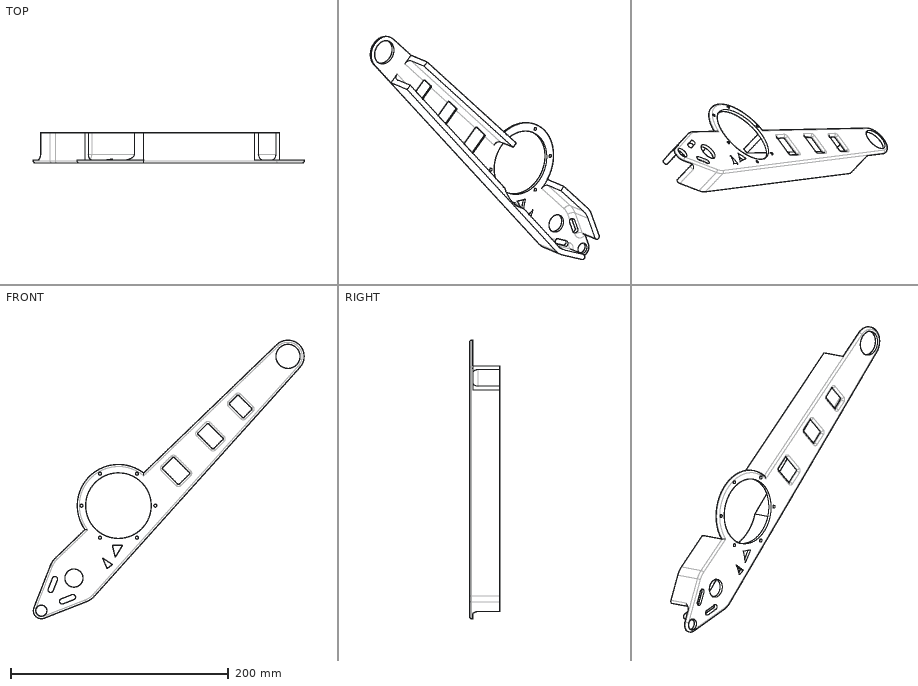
import cadquery as cq
import math


OVERALL_X = 249.51
OVERALL_Z = 256.6
DEPTH = 28.0
PLATE = 3.0
WALL = 5.0
FLOOR_FILLET = 5.0
EDGE_ROUND = 2.0
EPS = 1.0
CUT_DEPTH = PLATE + FLOOR_FILLET

RING_CENTER = (0.0, 0.0)
RING_RADIUS = 38.0
RING_BORE_RADIUS = 30.1
BOLT_CIRCLE_RADIUS = 34.0
BOLT_HOLE_RADIUS = 1.3
BOLT_COUNT = 6

TAIL = (-70.95, -96.7)
TAIL_RADIUS = 7.5
TAIL_BORE_RADIUS = 5.0
TIP_RADIUS = 15.0
TIP_BORE_RADIUS = 11.0
TIP = (
    TAIL[0] - TAIL_RADIUS + OVERALL_X - TIP_RADIUS,
    TAIL[1] - TAIL_RADIUS + OVERALL_Z - TIP_RADIUS,
)
MIDDLE_STEP = 30.0
MIDDLE = (TAIL[0] + MIDDLE_STEP, TAIL[1] + MIDDLE_STEP)
MIDDLE_BORE_RADIUS = 8.25
ARM_HALF_WIDTH = 25.2
TAIL_HALF_WIDTH = 24.5
OUTER_CORNER_RADIUS = 20.0
INNER_CORNER_RADIUS = 22.5

TIP_WALL_SETBACK = 27.5
TAIL_WALL_SETBACK = 15.0
WALL_END_RADIUS = WALL / 2
CLEARANCE = 12.0

WINDOW_ANGLE = 45.0
WINDOW_CORNER_RADIUS = 1.0
WINDOWS = [
    ((53.0, 32.0), 15.0, 21.5),
    ((84.7, 63.9), 13.6, 20.4),
    ((112.5, 91.3), 11.9, 18.5),
]

SLOT_ALONG = 24.5
SLOT_ACROSS = 9.6
SLOT_LENGTH = 15.4
SLOT_WIDTH = 4.7

TRIANGLES = [
    [(-5.5, -36.5), (3.7, -36.5), (-2.9, -47.4)],
    [(-14.4, -48.4), (-5.7, -54.3), (-10.4, -57.8)],
]

LEFT = 1
RIGHT = -1
QUARTER_TURN = math.pi / 2
HALF_TURN = math.pi


def heading(start, end):
    """Direction from one point to another."""
    return math.atan2(end[1] - start[1], end[0] - start[0])


def shift(point, angle, distance):
    """Point at a distance from another, in a given direction."""
    return (point[0] + distance * math.cos(angle), point[1] + distance * math.sin(angle))


ARM_ANGLE = heading(MIDDLE, TIP)
TAIL_ANGLE = heading(TAIL, MIDDLE)
ARM_TAPER = math.asin((ARM_HALF_WIDTH - TIP_RADIUS) / math.dist(MIDDLE, TIP))
TAIL_TAPER = math.asin((TAIL_HALF_WIDTH - TAIL_RADIUS) / math.dist(MIDDLE, TAIL))


def arm_normal(side):
    """Outward direction of a long arm edge."""
    return ARM_ANGLE + side * (QUARTER_TURN - ARM_TAPER)


def tail_normal(side):
    """Outward direction of a tail edge."""
    return TAIL_ANGLE + side * (QUARTER_TURN + TAIL_TAPER)


def corner_points(side, inset, radius):
    """Start, middle and end of the rounded corner, from the arm edge to the tail edge."""
    arm_dir = arm_normal(side)
    tail_dir = tail_normal(side)
    arm_offset = ARM_HALF_WIDTH - inset - radius
    tail_offset = TAIL_HALF_WIDTH - inset - radius
    turn = tail_dir - arm_dir
    slide = (tail_offset - arm_offset * math.cos(turn)) / math.sin(turn)
    center = shift(shift(MIDDLE, arm_dir, arm_offset), arm_dir + QUARTER_TURN, slide)
    return [shift(center, angle, radius) for angle in (arm_dir, (arm_dir + tail_dir) / 2, tail_dir)]


def tail_edge_start(side):
    """Point where the round of the tail meets a tail edge."""
    return shift(TAIL, tail_normal(side), TAIL_RADIUS)


def sketch():
    return cq.Workplane("XZ")


def raise_profile(profile, start, end):
    """Extrude a closed XZ profile from Y = start to Y = end."""
    return profile.extrude(start - end).translate((0, start, 0))


def disc(center, radius, start, end):
    return raise_profile(sketch().center(*center).circle(radius), start, end)


def turned_box(center, length, depth, height, angle, start):
    """Box of the given length along a direction in degrees, its front face at Y = start."""
    box = cq.Workplane("XY").box(length, depth, height)
    box = box.rotate((0, 0, 0), (0, 1, 0), -angle)
    return box.translate((center[0], start + depth / 2, center[1]))


def arm_profile():
    left = corner_points(LEFT, 0, OUTER_CORNER_RADIUS)
    right = corner_points(RIGHT, 0, OUTER_CORNER_RADIUS)
    tip_left = shift(TIP, arm_normal(LEFT), TIP_RADIUS)
    tip_right = shift(TIP, arm_normal(RIGHT), TIP_RADIUS)
    return (
        sketch()
        .moveTo(*tip_left)
        .lineTo(*left[0])
        .threePointArc(left[1], left[2])
        .lineTo(*tail_edge_start(LEFT))
        .threePointArc(shift(TAIL, TAIL_ANGLE + HALF_TURN, TAIL_RADIUS), tail_edge_start(RIGHT))
        .lineTo(*right[2])
        .threePointArc(right[1], right[0])
        .lineTo(*tip_right)
        .threePointArc(shift(TIP, ARM_ANGLE, TIP_RADIUS), tip_left)
        .close()
    )


def solid_body():
    """Full-depth arm with the thin ring, rounded along the front outer edge."""
    arm = raise_profile(arm_profile(), 0, DEPTH)
    ring = disc(RING_CENTER, RING_RADIUS, 0, PLATE)
    return arm.union(ring).faces("<Y").edges().fillet(EDGE_ROUND)


def wall_end_points(side):
    """Rounded tail end of a side wall, from its inner face round to clear of its outer face."""
    normal = tail_normal(side)
    along = normal - side * QUARTER_TURN
    outer = shift(tail_edge_start(side), along, TAIL_WALL_SETBACK + WALL_END_RADIUS)
    inner = shift(outer, normal, -WALL)
    crown = shift(shift(outer, normal, -WALL_END_RADIUS), along, -WALL_END_RADIUS)
    outer_run = shift(outer, along, CLEARANCE)
    outside = shift(outer_run, normal, CLEARANCE)
    return inner, crown, outer, outer_run, outside


def pocket():
    """Space between the side walls, open around the tail, with a filleted floor."""
    tip_radius = TIP_RADIUS - WALL
    left = corner_points(LEFT, WALL, INNER_CORNER_RADIUS)
    right = corner_points(RIGHT, WALL, INNER_CORNER_RADIUS)
    inner_l, crown_l, outer_l, run_l, outside_l = wall_end_points(LEFT)
    inner_r, crown_r, outer_r, run_r, outside_r = wall_end_points(RIGHT)
    past_tail = math.dist(outside_l, tail_edge_start(LEFT)) + CLEARANCE
    tip_left = shift(TIP, arm_normal(LEFT), tip_radius)
    tip_right = shift(TIP, arm_normal(RIGHT), tip_radius)
    profile = (
        sketch()
        .moveTo(*tip_left)
        .lineTo(*left[0])
        .threePointArc(left[1], left[2])
        .lineTo(*inner_l)
        .threePointArc(crown_l, outer_l)
        .lineTo(*run_l)
        .lineTo(*outside_l)
        .lineTo(*shift(outside_l, TAIL_ANGLE, -past_tail))
        .lineTo(*shift(outside_r, TAIL_ANGLE, -past_tail))
        .lineTo(*outside_r)
        .lineTo(*run_r)
        .lineTo(*outer_r)
        .threePointArc(crown_r, inner_r)
        .lineTo(*right[2])
        .threePointArc(right[1], right[0])
        .lineTo(*tip_right)
        .threePointArc(shift(TIP, ARM_ANGLE, tip_radius), tip_left)
        .close()
    )
    return raise_profile(profile, PLATE, DEPTH + EPS).faces("<Y").edges().fillet(FLOOR_FILLET)


def tip_clearance():
    """Space behind the plate beyond the square-cut wall ends at the tip."""
    length = 2 * TIP_WALL_SETBACK
    width = 4 * TIP_RADIUS
    center = shift(TIP, ARM_ANGLE, length / 2 - TIP_WALL_SETBACK)
    return turned_box(center, length, DEPTH, width, math.degrees(ARM_ANGLE), PLATE)


def ring_clearance():
    """Round space behind the ring that interrupts the side walls."""
    return disc(RING_CENTER, RING_RADIUS, PLATE, DEPTH + EPS)


def bores():
    places = [
        (RING_CENTER, RING_BORE_RADIUS),
        (TAIL, TAIL_BORE_RADIUS),
        (MIDDLE, MIDDLE_BORE_RADIUS),
        (TIP, TIP_BORE_RADIUS),
    ]
    for index in range(BOLT_COUNT):
        angle = index * 2 * math.pi / BOLT_COUNT
        places.append((shift(RING_CENTER, angle, BOLT_CIRCLE_RADIUS), BOLT_HOLE_RADIUS))
    return [disc(center, radius, -EPS, CUT_DEPTH) for center, radius in places]


def slots():
    """Two slots, each parallel to the nearby tail edge."""
    cuts = []
    for side in (LEFT, RIGHT):
        on_axis = shift(TAIL, TAIL_ANGLE, SLOT_ALONG)
        center = shift(on_axis, TAIL_ANGLE + side * QUARTER_TURN, SLOT_ACROSS)
        angle = math.degrees(tail_normal(side) - side * QUARTER_TURN)
        profile = sketch().center(*center).slot2D(SLOT_LENGTH, SLOT_WIDTH, angle)
        cuts.append(raise_profile(profile, -EPS, CUT_DEPTH))
    return cuts


def triangles():
    return [raise_profile(sketch().polyline(corners).close(), -EPS, CUT_DEPTH) for corners in TRIANGLES]


def window(center, along, across):
    """Cutter for a window whose front rim flares out in a round."""
    flare = 2 * EDGE_ROUND
    rim_corner = WINDOW_CORNER_RADIUS + EDGE_ROUND
    hole = turned_box((0, 0), along, CUT_DEPTH, across, 0, 0).edges("|Y").fillet(WINDOW_CORNER_RADIUS)
    rim = turned_box((0, 0), along + flare, EDGE_ROUND, across + flare, 0, 0).edges("|Y").fillet(rim_corner)
    frame = turned_box((0, 0), along + 2 * flare, PLATE, across + 2 * flare, 0, 0).cut(hole)
    mouth = cq.selectors.BoxSelector(
        (-along / 2 - EPS, -EPS, -across / 2 - EPS), (along / 2 + EPS, EPS, across / 2 + EPS)
    )
    frame = frame.faces("<Y").edges(mouth).fillet(EDGE_ROUND)
    cutter = hole.union(rim.cut(frame))
    return cutter.rotate((0, 0, 0), (0, 1, 0), -WINDOW_ANGLE).translate((center[0], 0, center[1]))


def windows():
    return [window(*place) for place in WINDOWS]


result = solid_body().cut(pocket()).cut(tip_clearance()).cut(ring_clearance())
for opening in bores() + slots() + triangles() + windows():
    result = result.cut(opening)